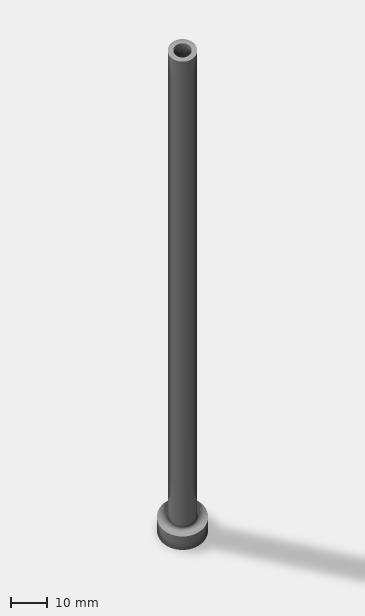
import cadquery as cq

total_length = 205.0
head_diameter = 14.0
head_height = 5.7
shank_diameter = 8.0
wall_thickness = 1.5
root_fillet = 0.5

head_radius = head_diameter / 2
shank_radius = shank_diameter / 2
bore_radius = shank_radius - wall_thickness
fillet_top = head_height + root_fillet

half_section = (
    cq.Workplane("XZ")
    .moveTo(bore_radius, 0)
    .lineTo(head_radius, 0)
    .lineTo(head_radius, head_height)
    .lineTo(shank_radius + root_fillet, head_height)
    .radiusArc((shank_radius, fillet_top), root_fillet)
    .lineTo(shank_radius, total_length)
    .lineTo(bore_radius, total_length)
    .close()
)

result = half_section.revolve(360, (0, 0, 0), (0, 1, 0))